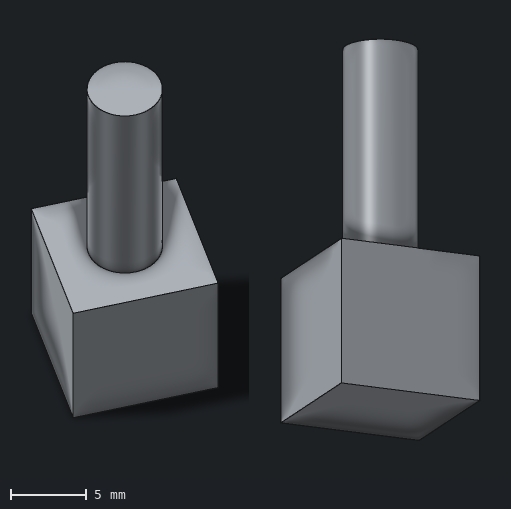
import cadquery as cq

block_side = 10.0
pin_diameter = 5.0
overall_height = 25.0

pin_length = overall_height - block_side


def make_block():
    """Cube centred on the Z axis, with its base at Z = 0."""
    return cq.Workplane("XY").box(block_side, block_side, block_side, centered=(True, True, False))


def make_pin():
    """Round pin centred on the top face of the block."""
    return cq.Workplane("XY").workplane(offset=block_side).circle(pin_diameter / 2).extrude(pin_length)


block = make_block()
pin = make_pin()

result = cq.Compound.makeCompound([block.val(), pin.val()])